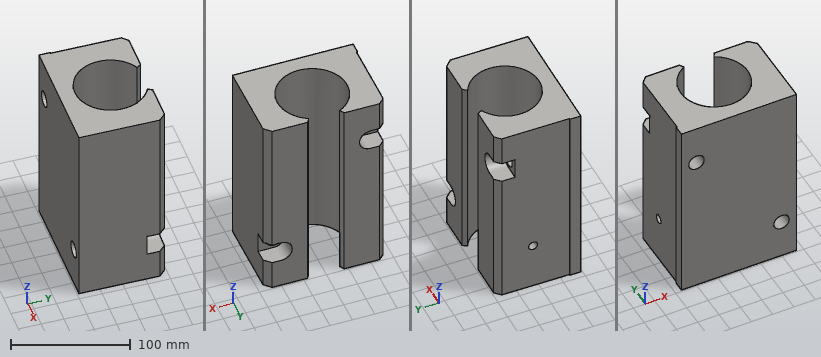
import cadquery as cq
import math

width = 108.0
depth = 77.0
height = 176.0
corner_chamfer = 6.0

side_relief = 0.9
foot_depth = 10.0

bore_radius = 31.2
bore_x = width / 2
bore_y = 45.2
mouth_width = 27.8
mouth_outer_width = 32.7

hole_diameter = 14.5
hole_inset_x = 14.0
hole_inset_z = 37.8
counterbore_diameter = 19.7
counterbore_depth = 17.2

side_hole_y = 43.3
side_hole_z = 44.9
side_hole_diameter = 8.1
side_hole_depth = 14.0
side_hole_inner_diameter = 4.2


def make_body():
    """Block with chamfered +Y corners and the relieved -X side."""
    block = cq.Workplane("XY").box(width, depth, height, centered=False)
    block = block.edges("|Z and >Y").chamfer(corner_chamfer)
    relief = (
        cq.Workplane("XY")
        .box(side_relief, depth - foot_depth, height, centered=False)
        .translate((0, foot_depth, 0))
    )
    return block.cut(relief)


def make_bore():
    """Round bore joined to the flared mouth on the +Y face."""
    lip_y = bore_y + math.sqrt(bore_radius**2 - (mouth_width / 2) ** 2)
    bore = cq.Workplane("XY").center(bore_x, bore_y).circle(bore_radius).extrude(height)
    mouth = (
        cq.Workplane("XY")
        .moveTo(bore_x - mouth_width / 2, bore_y)
        .lineTo(bore_x - mouth_width / 2, lip_y)
        .lineTo(bore_x - mouth_outer_width / 2, depth)
        .lineTo(bore_x + mouth_outer_width / 2, depth)
        .lineTo(bore_x + mouth_width / 2, lip_y)
        .lineTo(bore_x + mouth_width / 2, bore_y)
        .close()
        .extrude(height)
    )
    return bore.union(mouth)


def make_mounting_hole(x, z, side_x):
    """Through hole along Y with a counterbore opened sideways to side_x."""
    hole = cq.Workplane("XZ").center(x, z).circle(hole_diameter / 2).extrude(-depth)
    floor = cq.Workplane("XZ", origin=(0, depth - counterbore_depth, 0))
    seat = floor.center(x, z).circle(counterbore_diameter / 2).extrude(-counterbore_depth)
    opening = (
        floor.center((x + side_x) / 2, z)
        .rect(abs(side_x - x), counterbore_diameter)
        .extrude(-counterbore_depth)
    )
    return hole.union(seat).union(opening)


def make_side_hole():
    """Wide outer hole with a narrow inner hole continuing to the bore."""
    start = cq.Workplane("YZ").center(side_hole_y, side_hole_z)
    outer = start.circle(side_hole_diameter / 2).extrude(side_relief + side_hole_depth)
    inner = start.circle(side_hole_inner_diameter / 2).extrude(bore_x)
    return outer.union(inner)


result = make_body().cut(make_bore())
mounting_holes = [
    (hole_inset_x, height - hole_inset_z, 0),
    (width - hole_inset_x, hole_inset_z, width),
]
for hole_x, hole_z, open_side_x in mounting_holes:
    result = result.cut(make_mounting_hole(hole_x, hole_z, open_side_x))
result = result.cut(make_side_hole())